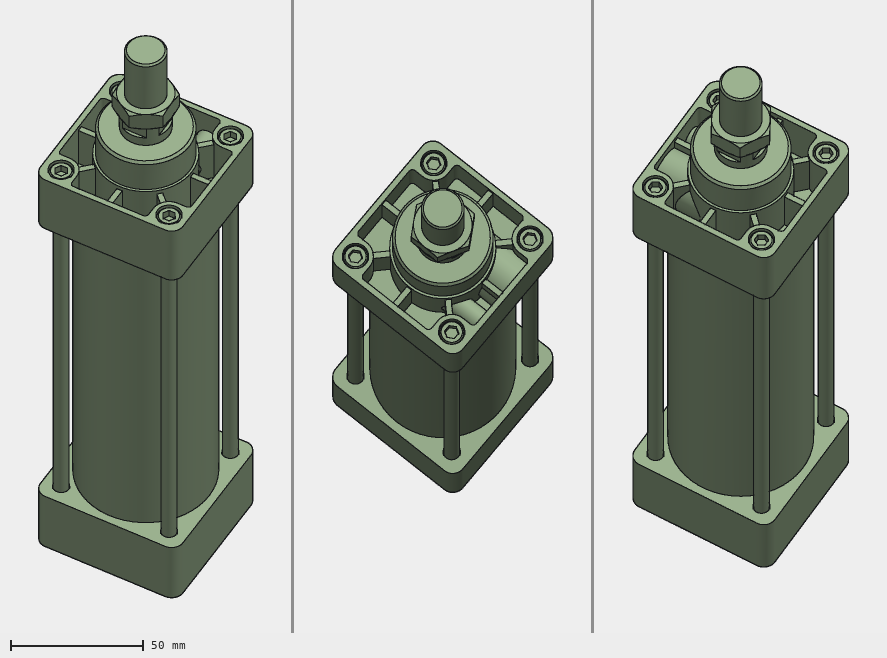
import cadquery as cq
import math

total_height = 260.0
cap_side = 62.0
rear_cap_height = 27.8
front_cap_height = 27.0
cap_corner_radius = 5.0
front_cap_top = 203.0
front_cap_bottom = front_cap_top - front_cap_height

barrel_diameter = 55.0
tie_spacing = 46.8
tie_rod_diameter = 6.0
tie_hole_diameter = 6.5
tie_hole_depth = 2.5

screw_bore_diameter = 10.0
screw_bore_depth = 6.0
screw_head_diameter = 9.0
screw_head_height = 5.5
screw_head_chamfer = 0.5
socket_flats = 4.7
socket_depth = 3.0

boss_base_diameter = 40.0
boss_diameter = 38.0
boss_top = 218.0
boss_chamfer = 1.0

wall_thickness = 2.3
pocket_depth = 20.0
pocket_corner_radius = 1.5
corner_pad_edge = 16.6
rib_thickness = 2.3
rib_drop = 1.8

port_x = -8.0
port_diameter = 21.8
side_barrel_drop = 14.0
needle_x = 11.0
needle_diameter = 10.0

rod_diameter = 20.0
rod_flats = 17.2
flats_bottom = 222.0
thread_diameter = 16.0
thread_chamfer = 0.8
nut_bottom = 228.0
nut_height = 8.0
nut_flats = 22.0
nut_chamfer_angle = 30.0

half_inside = cap_side / 2 - wall_thickness
pocket_floor = front_cap_top - pocket_depth
side_barrel_z = front_cap_top - side_barrel_drop
rib_height = pocket_depth - rib_drop
corner_pad_radius = tie_spacing / 2 - corner_pad_edge
hex_ratio = 2 / math.sqrt(3)
nut_corners = nut_flats * hex_ratio


def cylinder(diameter, bottom, top):
    """Solid cylinder on the Z axis."""
    return cq.Workplane("XY").workplane(offset=bottom).circle(diameter / 2).extrude(top - bottom)


def at_tie_points(bottom):
    """Workplane at height `bottom` holding the four tie rod centres."""
    plane = cq.Workplane("XY").workplane(offset=bottom)
    return plane.rect(tie_spacing, tie_spacing, forConstruction=True).vertices()


def make_cap_block(bottom, height):
    """Square cap with rounded vertical edges."""
    block = cq.Workplane("XY").box(cap_side, cap_side, height, centered=(True, True, False))
    return block.edges("|Z").fillet(cap_corner_radius).translate((0, 0, bottom))


def make_pocket_space():
    """Cross-shaped open space of the front cap around four rounded corner pads."""
    side = 2 * half_inside
    space = cq.Workplane("XY").workplane(offset=pocket_floor).rect(side, side).extrude(pocket_depth)
    pad_size = half_inside - corner_pad_edge
    pad_centre = (half_inside + corner_pad_edge) / 2
    for x_sign in (-1, 1):
        for y_sign in (-1, 1):
            pad = (
                cq.Workplane("XY")
                .box(pad_size, pad_size, pocket_depth, centered=(True, True, False))
                .edges("|Z")
                .edges("<X" if x_sign > 0 else ">X")
                .edges("<Y" if y_sign > 0 else ">Y")
                .fillet(corner_pad_radius)
                .translate((x_sign * pad_centre, y_sign * pad_centre, pocket_floor))
            )
            space = space.cut(pad)
    outer_corners = space.edges("|Z and (<X or >X or <Y or >Y)")
    return outer_corners.fillet(pocket_corner_radius)


def make_ribs(space):
    """Straight and diagonal ribs across the pockets, trimmed to the open space."""
    ribs = cq.Workplane("XY")
    rib_length = 2 * cap_side
    for angle in (0, 45, 90, 135):
        rib = (
            cq.Workplane("XY")
            .box(rib_length, rib_thickness, rib_height, centered=(True, True, False))
            .rotate((0, 0, 0), (0, 0, 1), angle)
            .translate((0, 0, pocket_floor))
        )
        ribs = ribs.add(rib)
    return ribs.combine().intersect(space)


def make_side_barrel(x, z, diameter):
    """Horizontal barrel running from the cap axis to the +Y wall."""
    return (
        cq.Workplane("XZ", origin=(x, 0, z))
        .circle(diameter / 2)
        .extrude(-half_inside)
    )


def make_boss():
    """Stepped round boss around the rod exit."""
    base = cylinder(boss_base_diameter, front_cap_bottom, front_cap_top)
    nose = cylinder(boss_diameter, front_cap_bottom, boss_top).faces(">Z").chamfer(boss_chamfer)
    return base.union(nose)


def make_front_cap():
    """Hollowed front cap with ribs, valve housings, boss and screw counterbores."""
    space = make_pocket_space()
    cap = make_cap_block(front_cap_bottom, front_cap_height).cut(space)
    cap = cap.union(make_ribs(space))
    cap = cap.union(make_side_barrel(port_x, side_barrel_z, port_diameter))
    cap = cap.union(make_side_barrel(needle_x, side_barrel_z, needle_diameter))
    cap = cap.union(make_boss())
    bores = (
        at_tie_points(front_cap_top - screw_bore_depth)
        .circle(screw_bore_diameter / 2)
        .extrude(screw_bore_depth)
    )
    return cap.cut(bores)


def make_screw_heads():
    """Four socket screw heads standing on the counterbore floors."""
    head_bottom = front_cap_top - screw_bore_depth
    head_top = head_bottom + screw_head_height
    heads = (
        at_tie_points(head_bottom)
        .circle(screw_head_diameter / 2)
        .extrude(screw_head_height)
        .faces(">Z")
        .chamfer(screw_head_chamfer)
    )
    sockets = (
        at_tie_points(head_top - socket_depth)
        .polygon(6, socket_flats * hex_ratio)
        .extrude(socket_depth)
    )
    return heads.cut(sockets)


def make_rear_cap():
    """Plain rear cap with a clearance recess around each tie rod."""
    recesses = (
        at_tie_points(rear_cap_height - tie_hole_depth)
        .circle(tie_hole_diameter / 2)
        .extrude(tie_hole_depth)
    )
    return make_cap_block(0, rear_cap_height).cut(recesses)


def make_tie_rods():
    """Four tie rods between the caps, seated in the rear recesses."""
    bottom = rear_cap_height - tie_hole_depth
    return at_tie_points(bottom).circle(tie_rod_diameter / 2).extrude(front_cap_bottom - bottom)


def make_housing():
    """Caps, barrel, tie rods and screws as one body."""
    housing = make_rear_cap().union(cylinder(barrel_diameter, rear_cap_height, front_cap_bottom))
    housing = housing.union(make_front_cap())
    housing = housing.union(make_tie_rods())
    return housing.union(make_screw_heads())


def make_nut():
    """Hexagon lock nut with corners on the Y axis and both ends chamfered."""
    hexagon = (
        cq.Workplane("XY")
        .workplane(offset=nut_bottom)
        .polygon(6, nut_corners)
        .extrude(nut_height)
        .rotate((0, 0, 0), (0, 0, 1), 90)
    )
    chamfer_run = (nut_corners - nut_flats) / 2
    chamfer_rise = chamfer_run * math.tan(math.radians(nut_chamfer_angle))
    envelope = (
        cylinder(nut_corners, nut_bottom, nut_bottom + nut_height)
        .faces("<Z or >Z")
        .chamfer(chamfer_rise, chamfer_run)
    )
    return hexagon.intersect(envelope)


def make_rod():
    """Piston rod end with four wrench flats, threaded end and lock nut."""
    collar = cylinder(rod_diameter, boss_top, flats_bottom)
    square = (
        cq.Workplane("XY")
        .workplane(offset=flats_bottom)
        .rect(rod_flats, rod_flats)
        .extrude(nut_bottom - flats_bottom)
    )
    wrench_section = cylinder(rod_diameter, flats_bottom, nut_bottom).intersect(square)
    thread = cylinder(thread_diameter, nut_bottom, total_height).faces(">Z").chamfer(thread_chamfer)
    return collar.union(wrench_section).union(thread).union(make_nut())


housing = make_housing()
piston_rod = make_rod()

result = cq.Compound.makeCompound([housing.val(), piston_rod.val()])